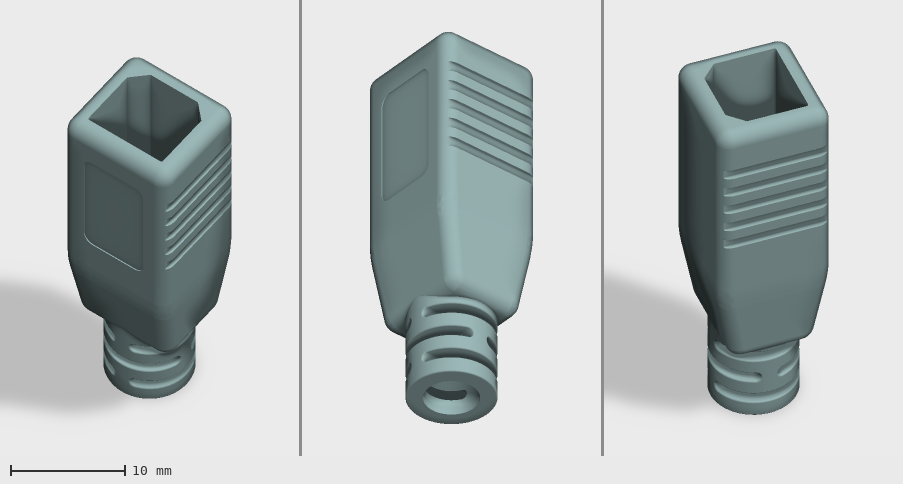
import cadquery as cq
import math

width_x = 11.3
depth_y = 10.55
height = 34.92

body_bottom = 8.03
bend_start = 16.9
bend_end = 14.7
taper_angle_x = 5.0
taper_angle_y = 10.0
edge_radius = 1.3

groove_count = 5
groove_pitch = 2.03
groove_height = 1.0
groove_depth = 0.35
groove_top = 31.1
groove_root_radius = 0.15

label_width = 6.45
label_height = 11.45
label_bottom = 20.2
label_radius = 1.0
label_depth = 0.1

cavity_width = 8.1
cavity_depth = 7.25
cavity_chamfer = 1.45
cavity_corner_radius = 0.17
cavity_floor = bend_start

chamber_size = 6.65
chamber_back_chamfer = 0.98
chamber_front_chamfer = 0.75
chamber_floor = 9.7

neck_radius = 4.05
bore_radius = 2.5
neck_top = 9.43
neck_edge_radius = 0.15

slot_rows = 3
slot_pitch = 2.4
slot_height = 0.98
first_slot_z = 2.03
web_width = 1.55


def side_profile(plane, full_width, taper_angle):
    """Body outline across one axis: straight, bent on an arc, then tapered."""
    angle = math.radians(taper_angle)
    bend_radius = (bend_start - bend_end) / math.sin(angle)

    def bend_point(turn):
        inset = bend_radius * (1 - math.cos(turn))
        return full_width / 2 - inset, bend_start - bend_radius * math.sin(turn)

    bend_middle = bend_point(angle / 2)
    bend_bottom = bend_point(angle)
    foot_half = bend_bottom[0] - (bend_end - body_bottom) * math.tan(angle)
    half_outline = (
        cq.Workplane(plane)
        .moveTo(0, height)
        .lineTo(full_width / 2, height)
        .lineTo(full_width / 2, bend_start)
        .threePointArc(bend_middle, bend_bottom)
        .lineTo(foot_half, body_bottom)
        .lineTo(0, body_bottom)
    )
    return half_outline.mirrorY()


def make_body():
    front = side_profile("XZ", width_x, taper_angle_x).extrude(depth_y / 2, both=True)
    side = side_profile("YZ", depth_y, taper_angle_y).extrude(width_x / 2, both=True)
    body = front.intersect(side)
    body = body.edges("not #Z").fillet(edge_radius)
    return body.faces("<Z or >Z").edges().fillet(edge_radius)


def groove_cutter(side):
    """One groove on the given X side (-1 or 1), its two root corners rounded."""
    middle_x = side * (width_x - groove_depth) / 2
    root = "<X" if side > 0 else ">X"
    return (
        cq.Workplane("XY")
        .box(groove_depth, depth_y, groove_height)
        .faces(root)
        .edges("|Y")
        .fillet(groove_root_radius)
        .translate((middle_x, 0, groove_top - groove_height / 2))
    )


def cut_grip_grooves(body):
    for side in (-1, 1):
        cutter = groove_cutter(side)
        for row in range(groove_count):
            body = body.cut(cutter.translate((0, 0, -row * groove_pitch)))
    return body


def label_recess():
    return (
        cq.Workplane("XY")
        .box(label_width, label_depth, label_height)
        .edges("|Y")
        .fillet(label_radius)
        .translate((0, (label_depth - depth_y) / 2, label_bottom + label_height / 2))
    )


def plug_cavity():
    depth = height - cavity_floor
    return (
        cq.Workplane("XY", origin=(0, 0, cavity_floor))
        .rect(cavity_width, cavity_depth)
        .extrude(depth)
        .edges("|Z and >Y")
        .chamfer(cavity_chamfer)
        .edges("|Z and <Y")
        .fillet(cavity_corner_radius)
    )


def inner_chamber():
    depth = cavity_floor - chamber_floor
    return (
        cq.Workplane("XY", origin=(0, 0, chamber_floor))
        .rect(chamber_size, chamber_size)
        .extrude(depth)
        .edges("|Z and >Y")
        .chamfer(chamber_back_chamfer)
        .edges("|Z and <Y")
        .chamfer(chamber_front_chamfer)
    )


def slot_pair(middle_z):
    """Two opposite slots along X with round ends, leaving a web on each Y side."""
    slot_length = 2 * neck_radius
    middle_x = (web_width + slot_length) / 2
    return (
        cq.Workplane("XZ", origin=(0, 0, middle_z))
        .pushPoints([(-middle_x, 0), (middle_x, 0)])
        .slot2D(slot_length, slot_height)
        .extrude(neck_radius, both=True)
    )


def make_neck():
    neck = cq.Workplane("XY").circle(neck_radius).extrude(neck_top)
    neck = neck.cut(cq.Workplane("XY").circle(bore_radius).extrude(neck_top))
    for row in range(slot_rows):
        slots = slot_pair(first_slot_z + row * slot_pitch)
        turn = 90 * (row % 2)
        neck = neck.cut(slots.rotate((0, 0, 0), (0, 0, 1), turn))

    def is_outer_rim(edge):
        middle = edge.positionAt(0.5)
        on_outside = math.isclose(math.hypot(middle.x, middle.y), neck_radius, abs_tol=0.005)
        return on_outside and middle.z < body_bottom

    outer_rims = neck.edges().filter(is_outer_rim).edges("not |Z")
    return outer_rims.fillet(neck_edge_radius)


cable_bore = cq.Workplane("XY").circle(bore_radius).extrude(height)

result = make_body().union(make_neck())
result = result.cut(cable_bore).cut(inner_chamber()).cut(plug_cavity())
result = cut_grip_grooves(result).cut(label_recess())